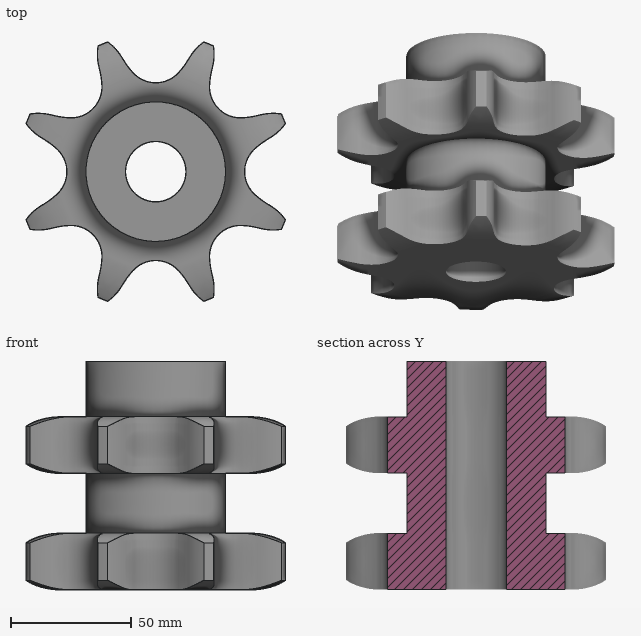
import cadquery as cq
import math


teeth = 8
chain_pitch = 38.1
roller_diameter = 25.4
tip_diameter = 115.0
row_spacing = 48.4
tooth_width = 23.6
side_relief_depth = 4.0
side_relief_radius = 38.0
hub_diameter = 58.0
hub_length = 95.0
bore_diameter = 25.0
rows = 2

half_tooth_angle = 180 / teeth
pitch_radius = chain_pitch / (2 * math.sin(math.radians(half_tooth_angle)))
tip_radius = tip_diameter / 2
seat_clearance = 0.0381
seat_radius = 0.5025 * roller_diameter + seat_clearance
seat_end_angle = 35 + 60 / teeth
working_sweep = 18 - 56 / teeth
working_offset = 0.8 * roller_diameter
working_radius = working_offset + seat_radius
topping_offset = 1.4 * roller_diameter
flank_angle = seat_end_angle - working_sweep


def polar(center, radius, angle):
    """Point at the given radius and angle (degrees) from a center."""
    turn = math.radians(angle)
    return (center[0] + radius * math.cos(turn), center[1] + radius * math.sin(turn))


def mirrored(point):
    """Point reflected in the Y axis, the centerline of the first tooth gap."""
    return (-point[0], point[1])


def rotated(point, angle):
    """Point turned about the sprocket axis."""
    return polar((0, 0), math.hypot(*point), math.degrees(math.atan2(point[1], point[0])) + angle)


def flank_points():
    """Right side of the gap centered on +Y, from the seat end out to the tooth tip."""
    roller_center = (0, pitch_radius)
    seat_end = polar(roller_center, seat_radius, -seat_end_angle)

    working_center = polar(roller_center, working_offset, 180 - seat_end_angle)
    working_middle = polar(working_center, working_radius, -seat_end_angle + working_sweep / 2)
    working_end = polar(working_center, working_radius, -flank_angle)

    topping_center = polar(roller_center, topping_offset, -half_tooth_angle)
    inward_angle = 180 - flank_angle
    inward = polar((0, 0), 1, inward_angle)
    topping_radius = (
        (working_end[0] - topping_center[0]) * inward[0]
        + (working_end[1] - topping_center[1]) * inward[1]
    )
    straight_end = polar(topping_center, topping_radius, inward_angle)

    center_distance = math.hypot(*topping_center)
    center_angle = math.degrees(math.atan2(topping_center[1], topping_center[0]))
    opening = math.degrees(math.acos(
        (center_distance**2 + topping_radius**2 - tip_radius**2)
        / (2 * center_distance * topping_radius)
    ))
    tip_angle = center_angle + 180 - opening
    topping_middle = polar(topping_center, topping_radius, (inward_angle + tip_angle) / 2)
    tip = polar(topping_center, topping_radius, tip_angle)
    return seat_end, working_middle, working_end, straight_end, topping_middle, tip


def toothed_plate():
    """Full-width plate with the tooth outline, resting on Z = 0."""
    seat_end, working_middle, working_end, straight_end, topping_middle, tip = flank_points()
    seat_bottom = (0, pitch_radius - seat_radius)
    outline = cq.Workplane("XY").moveTo(*mirrored(tip))
    for gap in range(teeth):
        turn = -gap * 360 / teeth

        def left(point):
            return rotated(mirrored(point), turn)

        def right(point):
            return rotated(point, turn)

        outline = (
            outline
            .threePointArc(left(topping_middle), left(straight_end))
            .lineTo(*left(working_end))
            .threePointArc(left(working_middle), left(seat_end))
            .threePointArc(right(seat_bottom), right(seat_end))
            .threePointArc(right(working_middle), right(working_end))
            .lineTo(*right(straight_end))
            .threePointArc(right(topping_middle), right(tip))
        )
        tip_middle = polar((0, 0), tip_radius, 90 - half_tooth_angle + turn)
        next_tip = rotated(mirrored(tip), turn - 360 / teeth)
        outline = outline.threePointArc(tip_middle, next_tip)
    return outline.close().extrude(tooth_width)


def relief_envelope():
    """Turned disc whose rounded sides thin the teeth towards their tips."""
    relief_length = math.sqrt(2 * side_relief_radius * side_relief_depth - side_relief_depth**2)
    relief_start = tip_radius - relief_length
    half_sweep = math.degrees(math.asin(relief_length / side_relief_radius)) / 2
    lower_middle = polar((relief_start, side_relief_radius), side_relief_radius, half_sweep - 90)
    upper_middle = (lower_middle[0], tooth_width - lower_middle[1])
    return (
        cq.Workplane("XZ")
        .lineTo(relief_start, 0)
        .threePointArc(lower_middle, (tip_radius, side_relief_depth))
        .lineTo(tip_radius, tooth_width - side_relief_depth)
        .threePointArc(upper_middle, (relief_start, tooth_width))
        .lineTo(0, tooth_width)
        .close()
        .revolve(360, (0, 0, 0), (0, 1, 0))
    )


sprocket_row = toothed_plate().intersect(relief_envelope())

result = cq.Workplane("XY").circle(hub_diameter / 2).extrude(hub_length)
for row in range(rows):
    result = result.union(sprocket_row.translate((0, 0, row * row_spacing)))

bore = cq.Workplane("XY").circle(bore_diameter / 2).extrude(hub_length)
result = result.cut(bore)